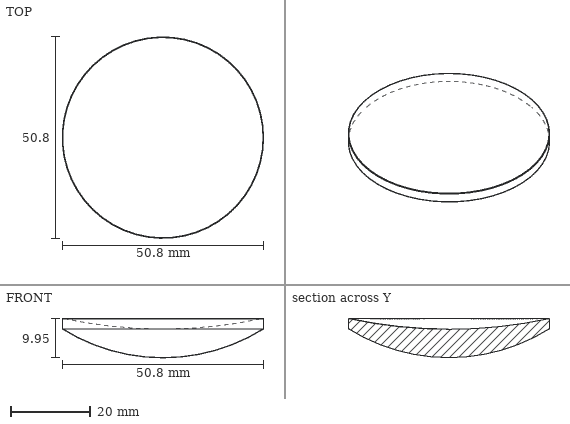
import cadquery as cq

diameter = 50.8
thickness_overall = 9.95
edge_height = 2.65
convex_sag = thickness_overall - edge_height
concave_sag = 2.7
bevel = 0.15

radius = diameter / 2
rim_radius = radius - bevel


def arc_midpoint(chord_half, sag, center_z):
    """Point halfway round the arc from the axis to the rim, for a face whose
    vertex sits on the axis at center_z and whose rim is sag above it."""
    sphere_radius = (chord_half**2 + sag**2) / (2 * sag)
    x = chord_half / 2
    return x, center_z + sphere_radius - (sphere_radius**2 - x**2) ** 0.5


concave_vertex = thickness_overall - concave_sag
half_section = (
    cq.Workplane("XZ")
    .moveTo(0, 0)
    .threePointArc(arc_midpoint(radius, convex_sag, 0), (radius, convex_sag))
    .lineTo(radius, thickness_overall - bevel)
    .lineTo(rim_radius, thickness_overall)
    .threePointArc(arc_midpoint(rim_radius, concave_sag, concave_vertex), (0, concave_vertex))
    .close()
)

result = half_section.revolve(360, (0, 0, 0), (0, 1, 0))